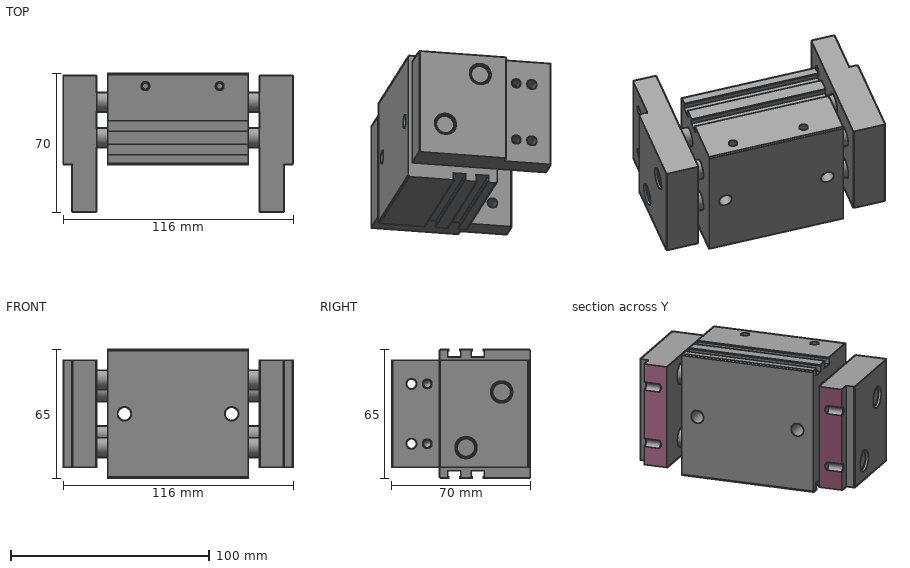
import cadquery as cq
import math


overall_length = 116.0
overall_depth = 70.0

housing_length = 71.0
housing_depth = 45.9
housing_height = 65.0
housing_chamfer = 0.7

slot_positions = (26.6, 38.4)
slot_width = 6.5
slot_mouth_width = 5.3
slot_depth = 3.7
slot_lip = 0.7

mount_hole_diameter = 6.7
mount_hole_offset = 27.0

port_positions = (-16.5, 21.0)
port_setback = 6.4
port_diameter = 4.3
port_floor_diameter = 3.2
port_depth = 7.0

rod_diameter = 10.0
rod_chamfer = 0.5
rod_end_recess = 1.0
front_rod_setback = 32.5
front_rod_height = 17.0
back_rod_setback = 14.5
back_rod_height = 11.0

jaw_height = 54.0
jaw_thickness = 16.9
jaw_back_setback = 0.9
jaw_step = 4.5
jaw_edge_chamfer = 0.5

rod_clearance_diameter = 11.0
finger_hole_spacing = 30.2
through_hole_setback = 60.0
through_hole_diameter = 5.0
tapped_hole_setback = 52.0
tapped_hole_diameter = 4.1
tapped_hole_mouth_diameter = 4.6
tapped_hole_depth = 8.1
drill_tip_angle = 118.0

jaw_outer_x = overall_length / 2
jaw_inner_x = jaw_outer_x - jaw_thickness
finger_outer_x = jaw_outer_x - jaw_step
finger_hole_heights = (-finger_hole_spacing / 2, finger_hole_spacing / 2)

left_rod_places = ((-front_rod_setback, -front_rod_height), (-back_rod_setback, back_rod_height))
right_rod_places = tuple((y, -z) for y, z in left_rod_places)


def cylinder_along_x(x_start, x_end, y, z, diameter):
    """Cylinder parallel to X from x_start to x_end."""
    plane = cq.Workplane("YZ", origin=(x_start, y, z))
    return plane.circle(diameter / 2).extrude(x_end - x_start)


def t_slot(y, side):
    """Cutter for a narrow-mouthed slot along the housing top (side = 1) or bottom (side = -1)."""
    mouth_z = side * housing_height / 2
    cavity_height = slot_depth - slot_lip
    cavity_z = mouth_z - side * (slot_lip + cavity_height / 2)
    mouth = cq.Workplane().box(housing_length, slot_mouth_width, 2 * slot_lip)
    cavity = cq.Workplane().box(housing_length, slot_width, cavity_height)
    return mouth.translate((0, y, mouth_z)).union(cavity.translate((0, y, cavity_z)))


def make_housing():
    housing = cq.Workplane().box(housing_length, housing_depth, housing_height)
    housing = housing.edges("|X").chamfer(housing_chamfer)
    housing = housing.translate((0, -housing_depth / 2, 0))

    for setback in slot_positions:
        for side in (-1, 1):
            housing = housing.cut(t_slot(-setback, side))

    mount_holes = (
        cq.Workplane("XZ")
        .pushPoints([(-mount_hole_offset, 0), (mount_hole_offset, 0)])
        .circle(mount_hole_diameter / 2)
        .extrude(housing_depth)
    )
    housing = housing.cut(mount_holes)

    ports = (
        cq.Workplane("XY", origin=(0, 0, housing_height / 2))
        .pushPoints([(x, -port_setback) for x in port_positions])
        .circle(port_diameter / 2)
        .extrude(-port_depth)
        .faces("<Z")
        .chamfer((port_diameter - port_floor_diameter) / 2)
    )
    housing = housing.cut(ports)

    for y, z in left_rod_places + right_rod_places:
        housing = housing.cut(cylinder_along_x(-housing_length / 2, housing_length / 2, y, z, rod_diameter))
    return housing


def tapped_hole(z):
    """Blind hole into the outer face of the left finger, with a chamfered mouth and a drill-point bottom."""
    radius = tapped_hole_diameter / 2
    mouth_radius = tapped_hole_mouth_diameter / 2
    tip_length = radius / math.tan(math.radians(drill_tip_angle / 2))
    half_section = [
        (0, 0),
        (0, mouth_radius),
        (mouth_radius - radius, radius),
        (tapped_hole_depth, radius),
        (tapped_hole_depth + tip_length, 0),
    ]
    hole = cq.Workplane("XY").polyline(half_section).close().revolve(360, (0, 0, 0), (1, 0, 0))
    return hole.translate((-finger_outer_x, -tapped_hole_setback, z))


def make_left_jaw():
    """Stepped jaw plate with its two guide rods, on the -X side of the housing."""
    body_back_y = -jaw_back_setback
    step_y = -housing_depth
    finger_tip_y = -overall_depth
    outline = [
        (-jaw_outer_x, body_back_y),
        (-jaw_inner_x, body_back_y),
        (-jaw_inner_x, finger_tip_y),
        (-finger_outer_x, finger_tip_y),
        (-finger_outer_x, step_y),
        (-jaw_outer_x, step_y),
    ]
    jaw = cq.Workplane("XY").polyline(outline).close().extrude(jaw_height / 2, both=True)

    inner_corner = cq.selectors.NearestToPointSelector((-finger_outer_x, step_y, 0))
    outer_edges = jaw.edges("|Z").edges(cq.selectors.InverseSelector(inner_corner))
    jaw = outer_edges.chamfer(jaw_edge_chamfer)

    for z in finger_hole_heights:
        through_hole = cylinder_along_x(
            -finger_outer_x, -jaw_inner_x, -through_hole_setback, z, through_hole_diameter
        )
        jaw = jaw.cut(through_hole).cut(tapped_hole(z))

    for y, z in right_rod_places:
        jaw = jaw.cut(cylinder_along_x(-jaw_outer_x, -jaw_inner_x, y, z, rod_clearance_diameter))

    for y, z in left_rod_places:
        rod = cylinder_along_x(-jaw_inner_x, jaw_outer_x - rod_end_recess, y, z, rod_diameter)
        jaw = jaw.union(rod.faces(">X").chamfer(rod_chamfer))
    return jaw


housing = make_housing()

left_jaw = make_left_jaw()
right_jaw = left_jaw.rotate((0, 0, 0), (0, 1, 0), 180)

result = cq.Compound.makeCompound([housing.val(), left_jaw.val(), right_jaw.val()])